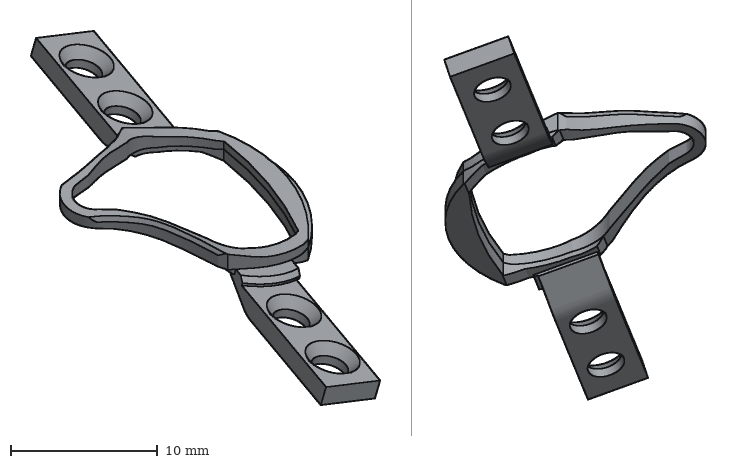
import cadquery as cq
import math

LENGTH = 41.25
FRONT_Y = -11.05
BACK_Y = 6.9

TILT = 15.5
ARM_FRONT_Y = -2.0
ARM_FRONT_Z = 2.7
LEFT_ARM_WIDTH = 4.65
RIGHT_ARM_WIDTH = 4.37
ARM_THICKNESS = 1.53
ARM_END_X = LENGTH / 2
ARM_INNER_X = 7.0
ARM_ROOT_THICKNESS = 0.1
ARM_SLOPE_X = 10.02
ARM_BEND_RADIUS = 2.48

HOLE_XS = (12.0, 17.5)
HOLE_FROM_FRONT = 2.3
HOLE_DIAMETER = 2.6
SINK_DIAMETER = 3.85
SINK_DEPTH = 0.82
SINK_ANGLE = 2 * math.degrees(math.atan((SINK_DIAMETER - HOLE_DIAMETER) / 2 / SINK_DEPTH))

PAD_HEIGHT = 0.58
PAD_SIDE_X = 8.62
PAD_MIDDLE_X = 9.08
PAD_BEVEL = 0.37

BAR_BOTTOM_Z = 0.65
BAR_TOP_Z = 1.75
BAR_FRONT_Y = 4.3
SEAT_THICKNESS = 0.4
SEAT_FRONT_Y = -2.55
SEAT_UNDER_FRONT_Y = -2.05
SEAT_BACK_Y = 2.45
STEP_Y = 3.7
SEAT_UNDER_Y = 2.9

RING_BACK_Y = 6.25
RING_BACK_TOP_Z = 2.48
RING_LEVEL_Y = 3.88
TIP_LEVEL_Y = -9.3
RING_TIP_TOP_Z = 7.18
RING_TIP_BOTTOM_Z = 6.2
LEG_UNDERSIDE = [(-3.95, 4.12), (-5.95, 5.2), (-8.65, 6.05)]
RING_TOP = [
    (-7.9, 7.05), (-6.3, 6.75), (-4.95, 6.2), (-2.93, 5.07),
    (-0.85, 4.05), (0.58, 3.45), (2.45, 2.9),
]
LEG_BEVEL_ACROSS = 0.15
LEG_BEVEL_DOWN = 0.4

SHOULDER = (-6.4, 4.4)
SIDE_MIDDLE = (-7.35, 2.3)
SIDE_WIDEST = (-7.65, -0.37)
SIDE_CORNER = (-7.45, -2.45)
LEG_START = (-7.1, -2.95)
LEG_MIDDLE = (-4.45, -5.75)
TIP_START = (-2.25, -9.7)

INNER_BACK_Y = 4.8
INNER_SHOULDER = (-5.3, 4.25)
INNER_SIDE_BACK = (-6.25, 2.15)
INNER_WIDEST = (-6.55, -0.3)
INNER_SIDE_FRONT = (-6.45, -1.9)
INNER_LEG_START = (-5.65, -3.1)
INNER_LEG_END = (-2.02, -8.1)
INNER_TIP_START = (-1.4, -9.45)
INNER_FRONT_Y = -10.25

CLIP_HALF_WIDTH = 10.3
PLAN_HEIGHT = 12.38


def seat_z(y):
    """Height of the tilted pad tops, where the ring rests."""
    arm_top_z = ARM_FRONT_Z - (y - ARM_FRONT_Y) * math.tan(math.radians(TILT))
    return arm_top_z + PAD_HEIGHT / math.cos(math.radians(TILT))


def mirrored(point):
    """The plan point on the right half that matches one on the left."""
    return (-point[0], point[1])


def outer_plan(back_y):
    """Prism inside the outer outline, with the arc across the back reaching back_y."""
    return (
        cq.Workplane("XY")
        .moveTo(*LEG_START)
        .lineTo(*SIDE_CORNER)
        .lineTo(*SIDE_WIDEST)
        .threePointArc(SIDE_MIDDLE, SHOULDER)
        .threePointArc((0, back_y), mirrored(SHOULDER))
        .threePointArc(mirrored(SIDE_MIDDLE), mirrored(SIDE_WIDEST))
        .lineTo(*mirrored(SIDE_CORNER))
        .lineTo(*mirrored(LEG_START))
        .threePointArc(mirrored(LEG_MIDDLE), mirrored(TIP_START))
        .threePointArc((0, FRONT_Y), TIP_START)
        .threePointArc(LEG_MIDDLE, LEG_START)
        .close()
        .extrude(PLAN_HEIGHT)
    )


def opening():
    """Prism that fills the opening through the ring and the bracket."""
    return (
        cq.Workplane("XY")
        .moveTo(*INNER_LEG_START)
        .threePointArc(INNER_SIDE_FRONT, INNER_WIDEST)
        .threePointArc(INNER_SIDE_BACK, INNER_SHOULDER)
        .threePointArc((0, INNER_BACK_Y), mirrored(INNER_SHOULDER))
        .threePointArc(mirrored(INNER_SIDE_BACK), mirrored(INNER_WIDEST))
        .threePointArc(mirrored(INNER_SIDE_FRONT), mirrored(INNER_LEG_START))
        .lineTo(*mirrored(INNER_LEG_END))
        .lineTo(*mirrored(INNER_TIP_START))
        .threePointArc((0, INNER_FRONT_Y), INNER_TIP_START)
        .lineTo(*INNER_LEG_END)
        .close()
        .extrude(PLAN_HEIGHT)
    )


def make_ring():
    """Closed ring that rests on the bracket bar and seat and rises to the tip."""
    plan = outer_plan(RING_BACK_Y).cut(opening())
    profile = (
        cq.Workplane("YZ")
        .moveTo(RING_BACK_Y, BAR_TOP_Z)
        .lineTo(STEP_Y, BAR_TOP_Z)
        .lineTo(SEAT_BACK_Y, seat_z(SEAT_BACK_Y))
        .lineTo(SEAT_FRONT_Y, seat_z(SEAT_FRONT_Y))
        .spline(
            [*LEG_UNDERSIDE, (FRONT_Y, RING_TIP_BOTTOM_Z)],
            includeCurrent=True,
        )
        .lineTo(FRONT_Y, RING_TIP_TOP_Z)
        .lineTo(TIP_LEVEL_Y, RING_TIP_TOP_Z)
        .spline(
            [*RING_TOP, (RING_LEVEL_Y, RING_BACK_TOP_Z)],
            includeCurrent=True,
        )
        .lineTo(RING_BACK_Y, RING_BACK_TOP_Z)
        .close()
        .extrude(CLIP_HALF_WIDTH, both=True)
    )
    return plan.intersect(profile)


def bevel_legs(ring):
    """Bevel the outer top edge of the right leg, then keep what the mirror image shares."""
    leg_top = cq.selectors.NearestToPointSelector((*mirrored(LEG_MIDDLE), RING_TIP_TOP_Z))
    bevelled = ring.edges(leg_top).chamfer(LEG_BEVEL_DOWN, LEG_BEVEL_ACROSS)
    return bevelled.intersect(bevelled.mirror("YZ"))


def make_seat():
    """Bar across the back, with the strips under the two sides of the ring."""
    plan = outer_plan(BACK_Y).cut(opening())
    drop = SEAT_THICKNESS / math.cos(math.radians(TILT))
    profile = (
        cq.Workplane("YZ")
        .moveTo(BACK_Y, BAR_BOTTOM_Z)
        .lineTo(BACK_Y, BAR_TOP_Z)
        .lineTo(STEP_Y, BAR_TOP_Z)
        .lineTo(SEAT_BACK_Y, seat_z(SEAT_BACK_Y))
        .lineTo(SEAT_FRONT_Y, seat_z(SEAT_FRONT_Y))
        .lineTo(SEAT_UNDER_FRONT_Y, seat_z(SEAT_UNDER_FRONT_Y) - drop)
        .lineTo(SEAT_UNDER_Y, seat_z(SEAT_UNDER_Y) - drop)
        .lineTo(BAR_FRONT_Y, BAR_BOTTOM_Z)
        .close()
        .extrude(CLIP_HALF_WIDTH, both=True)
    )
    return plan.intersect(profile)


def make_pad():
    """Raised pad on the right arm, level, with a bowed and bevelled outer end."""
    return (
        cq.Workplane("XY")
        .moveTo(ARM_INNER_X, 0)
        .lineTo(PAD_SIDE_X, 0)
        .threePointArc((PAD_MIDDLE_X, LEFT_ARM_WIDTH / 2), (PAD_SIDE_X, LEFT_ARM_WIDTH))
        .lineTo(ARM_INNER_X, LEFT_ARM_WIDTH)
        .close()
        .extrude(PAD_HEIGHT)
        .faces(">Z")
        .edges("%CIRCLE")
        .chamfer(PAD_BEVEL)
    )


def make_arm(width):
    """Right arm with its pad and holes, built level and then tilted into place."""
    arm = (
        cq.Workplane("XZ")
        .polyline([
            (ARM_END_X, 0),
            (ARM_END_X, -ARM_THICKNESS),
            (ARM_SLOPE_X, -ARM_THICKNESS),
            (ARM_INNER_X, -ARM_ROOT_THICKNESS),
            (ARM_INNER_X, 0),
        ])
        .close()
        .extrude(-width)
        .edges(cq.selectors.NearestToPointSelector((ARM_SLOPE_X, width / 2, -ARM_THICKNESS)))
        .fillet(ARM_BEND_RADIUS)
        .faces(">Z")
        .workplane(origin=(0, 0, 0))
        .pushPoints([(x, HOLE_FROM_FRONT) for x in HOLE_XS])
        .cskHole(HOLE_DIAMETER, SINK_DIAMETER, SINK_ANGLE)
    )
    return (
        arm.union(make_pad())
        .rotate((0, 0, 0), (1, 0, 0), -TILT)
        .translate((0, ARM_FRONT_Y, ARM_FRONT_Z))
    )


def make_bracket():
    """Two arms joined by the bar behind and under the ring."""
    left_arm = make_arm(LEFT_ARM_WIDTH).mirror("YZ")
    right_arm = make_arm(RIGHT_ARM_WIDTH)
    arms = left_arm.union(right_arm).cut(opening())
    return make_seat().union(arms)


ring = bevel_legs(make_ring())
bracket = make_bracket()
result = cq.Compound.makeCompound([ring.solids().val(), bracket.solids().val()])